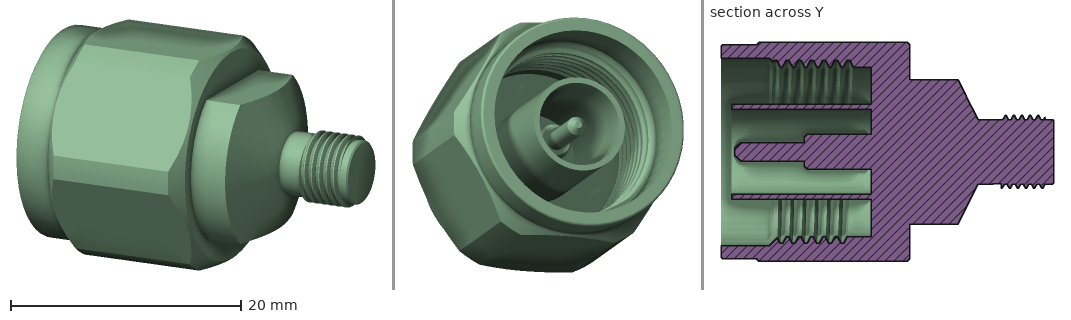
import cadquery as cq
import math

overall_length = 28.95

collar_radius = 18.68 / 2
collar_length = 3.1
collar_edge_fillet = 0.23
nut_across_flats = 19.05
nut_corner_radius = 20.88 / 2
nut_end = 16.42
nut_bevel = nut_corner_radius - collar_radius

entry_radius = 8.15
entry_depth = 4.2
inner_thread_minor = 7.35
inner_thread_major = 7.94
inner_thread_turns = 7
inner_thread_length = 7.4
inner_thread_pitch = inner_thread_length / inner_thread_turns
inner_thread_root_width = 0.23
inner_thread_mouth_width = 0.85
socket_depth = 13.03

tube_outer_radius = 4.17
tube_inner_radius = 3.68
tube_tip = 0.93
pin_radius = 1.65 / 2
pin_tip_radius = 0.32
pin_tip = 1.15
pin_tip_length = 0.58
pin_shoulder_radius = 1.53
pin_shoulder_chamfer = 0.25
pin_shoulder = 7.25

body_radius = 16.28 / 2
body_across_flats = 12.6
body_end = 19.72
cone_end = 22.35

spigot_radius = 5.65 / 2
spigot_chamfer = 0.15
outer_thread_radius = 3.2
outer_helix_turns = 8
outer_helix_length = 5.65
outer_thread_pitch = outer_helix_length / outer_helix_turns
outer_thread_base_width = 0.5
outer_thread_crest_width = 0.12
outer_thread_start = 24.35
outer_thread_end = 28.2
outer_helix_start = 23.0

thread_overlap = 0.1


def revolve_profile(points):
    """Solid of revolution about X from (x, radius) points."""
    profile = cq.Workplane("XY").polyline(points).close()
    return profile.revolve(360, (0, 0, 0), (1, 0, 0))


def cylinder(radius, start, end):
    return cq.Workplane("YZ", origin=(start, 0, 0)).circle(radius).extrude(end - start)


def helical_ridge(start, length, pitch, near_radius, near_width, far_radius, far_width):
    """Right-handed helical bar of trapezoid section, starting at -Z of the X axis."""
    helix = cq.Wire.makeHelix(pitch, length, near_radius)
    section = cq.Workplane("XZ").polyline([
        (near_radius, -near_width / 2),
        (far_radius, -far_width / 2),
        (far_radius, far_width / 2),
        (near_radius, near_width / 2),
    ]).close()
    ridge = section.sweep(cq.Workplane(obj=helix), isFrenet=True)
    return ridge.rotate((0, 0, 0), (0, 1, 0), 90).translate((start, 0, 0))


def make_nut():
    across_corners = nut_across_flats / math.cos(math.pi / 6)
    hexagon = (
        cq.Workplane("YZ", origin=(collar_length, 0, 0))
        .polygon(6, across_corners)
        .extrude(nut_end - collar_length)
    )
    rounding = cylinder(nut_corner_radius, collar_length, nut_end).edges().chamfer(nut_bevel)
    collar = cylinder(collar_radius, 0, collar_length).faces("<X").edges().fillet(collar_edge_fillet)
    return hexagon.intersect(rounding).union(collar)


def make_socket():
    """Space removed from the nut: entry bore, lead-in cone and threaded bore."""
    lead_in_end = entry_depth + entry_radius - inner_thread_minor
    bore = revolve_profile([
        (0, 0),
        (0, entry_radius),
        (entry_depth, entry_radius),
        (lead_in_end, inner_thread_minor),
        (socket_depth, inner_thread_minor),
        (socket_depth, 0),
    ])
    flank_slope = (inner_thread_mouth_width - inner_thread_root_width) / (inner_thread_major - inner_thread_minor)
    groove = helical_ridge(
        entry_depth,
        inner_thread_length,
        inner_thread_pitch,
        inner_thread_minor - thread_overlap,
        inner_thread_mouth_width + flank_slope * thread_overlap,
        inner_thread_major,
        inner_thread_root_width,
    )
    return bore.union(groove)


def make_tube():
    return cylinder(tube_outer_radius, tube_tip, socket_depth).cut(
        cylinder(tube_inner_radius, tube_tip, socket_depth)
    )


def make_pin():
    return revolve_profile([
        (pin_tip, 0),
        (pin_tip, pin_tip_radius),
        (pin_tip + pin_tip_length, pin_radius),
        (pin_shoulder, pin_radius),
        (pin_shoulder, pin_shoulder_radius - pin_shoulder_chamfer),
        (pin_shoulder + pin_shoulder_chamfer, pin_shoulder_radius),
        (socket_depth, pin_shoulder_radius),
        (socket_depth, 0),
    ])


def make_body():
    """Flatted cylinder tapering to the spigot."""
    turned = revolve_profile([
        (nut_end, 0),
        (nut_end, body_radius),
        (body_end, body_radius),
        (cone_end, spigot_radius),
        (cone_end, 0),
    ])
    flats = cq.Workplane("XY").box(2 * overall_length, 2 * body_radius, body_across_flats)
    return turned.intersect(flats)


def make_spigot():
    spigot = cylinder(spigot_radius, cone_end, overall_length).faces(">X").edges().chamfer(spigot_chamfer)
    flank_slope = (outer_thread_base_width - outer_thread_crest_width) / (outer_thread_radius - spigot_radius)
    ridge = helical_ridge(
        outer_helix_start,
        outer_helix_length,
        outer_thread_pitch,
        spigot_radius - thread_overlap,
        outer_thread_base_width + flank_slope * thread_overlap,
        outer_thread_radius,
        outer_thread_crest_width,
    )
    ridge = ridge.intersect(cylinder(2 * spigot_radius, outer_thread_start, outer_thread_end))
    return spigot.union(ridge)


result = (
    make_nut()
    .cut(make_socket())
    .union(make_tube())
    .union(make_pin())
    .union(make_body())
    .union(make_spigot())
)